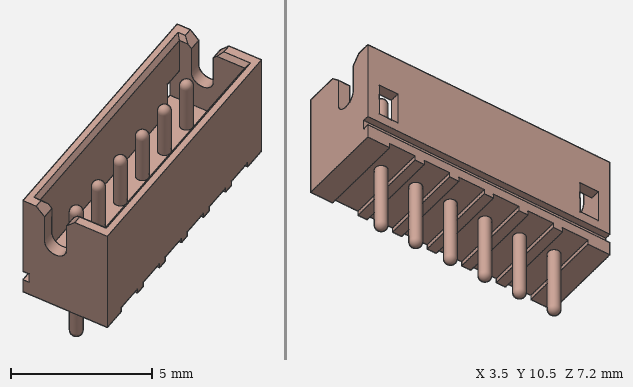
import cadquery as cq
import math

BODY_X = 3.5
BODY_Y = 10.5
BODY_Z = 4.5

SIDE_WALL = 0.4
END_WALL = 0.5
RIM_CHAMFER = 0.15
RIM_CHAMFER_DEPTH = 0.2
FLOOR_Z = 1.4
LOW_FLOOR_Z = 1.1
SLOPE_START_X = 1.8
SLOPE_END_X = 2.0

SLOT_CENTRE_X = 1.35
SLOT_WIDTH = 0.9
SLOT_BOTTOM_Z = 2.5
SLOT_CHAMFER = 0.35

WINDOW_LENGTH = 0.8
WINDOW_HEIGHT = 1.4

GROOVE_DEPTH = 0.25
GROOVE_BOTTOM_Z = 0.6
GROOVE_HEIGHT = 0.4

PIN_COUNT = 6
PIN_PITCH = 1.5
PIN_DIAMETER = 0.5
PIN_X = 1.3
PIN_BOTTOM_Z = -2.7
PIN_TOP_Z = 3.6
NOTCH_WIDTH = 1.1
NOTCH_HEIGHT = 0.2

CAVITY_X = BODY_X - 2 * SIDE_WALL
CAVITY_Y = BODY_Y - 2 * END_WALL
PIN_ROW = [(i - (PIN_COUNT - 1) / 2) * PIN_PITCH for i in range(PIN_COUNT)]


def box(x_start, y_centre, z_bottom, x_size, y_size, z_size):
    """Box placed by its left face, its middle in Y and its underside."""
    block = cq.Workplane("XY").box(x_size, y_size, z_size, centered=(False, True, False))
    return block.translate((x_start, y_centre, z_bottom))


def extrude_along_y(profile, length):
    """Extrude an XZ profile symmetrically about Y = 0."""
    return profile.extrude(length / 2, both=True)


def cavity():
    """Pocket with a high floor under the pins that slopes down to a lower floor."""
    right_x = BODY_X - SIDE_WALL
    profile = (
        cq.Workplane("XZ")
        .moveTo(SIDE_WALL, BODY_Z)
        .lineTo(SIDE_WALL, FLOOR_Z)
        .lineTo(SLOPE_START_X, FLOOR_Z)
        .lineTo(SLOPE_END_X, LOW_FLOOR_Z)
        .lineTo(right_x, LOW_FLOOR_Z)
        .lineTo(right_x, BODY_Z)
        .close()
    )
    return extrude_along_y(profile, CAVITY_Y)


def rim_chamfer():
    """Tapered frustum that bevels the mouth of the cavity."""
    taper = math.degrees(math.atan2(RIM_CHAMFER, RIM_CHAMFER_DEPTH))
    return (
        cq.Workplane("XY", origin=(BODY_X / 2, 0, BODY_Z))
        .rect(CAVITY_X + 2 * RIM_CHAMFER, CAVITY_Y + 2 * RIM_CHAMFER)
        .extrude(-RIM_CHAMFER_DEPTH, taper=taper)
    )


def polarizing_slot():
    """Round-bottomed slot with a flared mouth."""
    radius = SLOT_WIDTH / 2
    left_x = SLOT_CENTRE_X - radius
    right_x = SLOT_CENTRE_X + radius
    arc_z = SLOT_BOTTOM_Z + radius
    flare_z = BODY_Z - SLOT_CHAMFER
    profile = (
        cq.Workplane("XZ")
        .moveTo(left_x - SLOT_CHAMFER, BODY_Z)
        .lineTo(left_x, flare_z)
        .lineTo(left_x, arc_z)
        .threePointArc((SLOT_CENTRE_X, SLOT_BOTTOM_Z), (right_x, arc_z))
        .lineTo(right_x, flare_z)
        .lineTo(right_x + SLOT_CHAMFER, BODY_Z)
        .close()
    )
    return extrude_along_y(profile, BODY_Y)


def latch_window(side):
    """Window level with the high floor and flush with an end of the cavity (side = -1 or 1)."""
    centre_y = side * (CAVITY_Y - WINDOW_LENGTH) / 2
    return box(0, centre_y, FLOOR_Z, SIDE_WALL, WINDOW_LENGTH, WINDOW_HEIGHT)


def pin(y):
    """Round pin with hemispherical ends."""
    radius = PIN_DIAMETER / 2
    return (
        cq.Workplane("XY", origin=(PIN_X, y, PIN_BOTTOM_Z + radius))
        .circle(radius)
        .extrude(PIN_TOP_Z - PIN_BOTTOM_Z - PIN_DIAMETER)
        .union(cq.Workplane("XY").sphere(radius).translate((PIN_X, y, PIN_BOTTOM_Z + radius)))
        .union(cq.Workplane("XY").sphere(radius).translate((PIN_X, y, PIN_TOP_Z - radius)))
    )


def housing():
    """Moulded body with every recess cut, before the pins are added."""
    body = box(0, 0, 0, BODY_X, BODY_Y, BODY_Z)
    body = body.cut(cavity()).cut(rim_chamfer()).cut(polarizing_slot())
    body = body.cut(box(0, 0, GROOVE_BOTTOM_Z, GROOVE_DEPTH, BODY_Y, GROOVE_HEIGHT))
    for side in (-1, 1):
        body = body.cut(latch_window(side))
    for y in PIN_ROW:
        body = body.cut(box(0, y, 0, BODY_X, NOTCH_WIDTH, NOTCH_HEIGHT))
    return body


result = housing()
for pin_y in PIN_ROW:
    result = result.union(pin(pin_y))